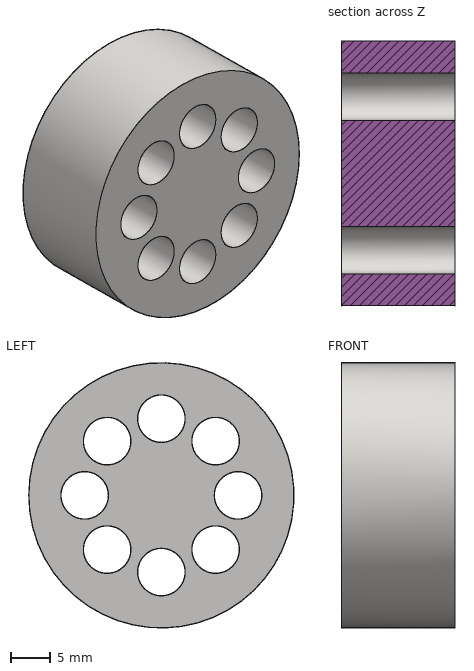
import cadquery as cq

disc_diameter = 33.8
disc_thickness = 14.5
hole_diameter = 6.0
hole_count = 8
hole_circle_radius = 9.77

disc = cq.Workplane("YZ").circle(disc_diameter / 2).extrude(disc_thickness)

result = (
    disc.faces(">X")
    .workplane()
    .polarArray(hole_circle_radius, 0, 360, hole_count)
    .hole(hole_diameter)
)